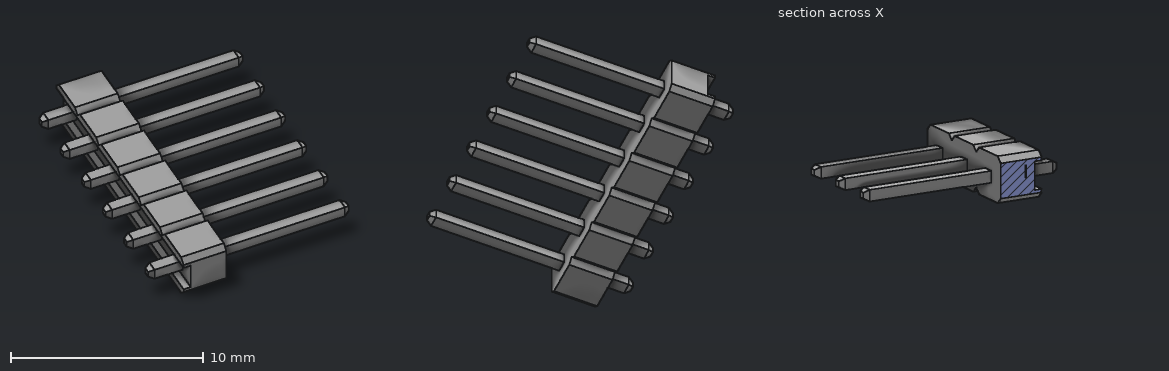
import cadquery as cq

pin_count = 6
row_length = 15.24
pitch = row_length / pin_count

housing_height = pitch
housing_depth = 2.47
corner_chamfer = 0.3
recess_height = 1.52
recess_depth = 0.41

pin_width = 0.64
tip_width = 0.34
tip_length = 0.3
front_tail = 1.52
pin_length = 11.6

pin_front = -front_tail
pin_back = pin_front + pin_length
pin_positions = [(i - (pin_count - 1) / 2) * pitch for i in range(pin_count)]


def make_cell(x):
    """One housing segment; chamfered long edges meet its neighbours in V grooves."""
    return (
        cq.Workplane("XY")
        .box(pitch, housing_depth, housing_height)
        .edges("|Y")
        .chamfer(corner_chamfer)
        .translate((x, housing_depth / 2, 0))
    )


def make_tip(x, base_y, end_y):
    """Pyramid frustum tapering along Y from the pin section to the tip section."""
    return (
        cq.Workplane("XZ", origin=(x, base_y, 0))
        .rect(pin_width, pin_width)
        .workplane(offset=base_y - end_y)
        .rect(tip_width, tip_width)
        .loft(ruled=True)
    )


def make_pin(x):
    """A straight square pin with a tapered tip at each end."""
    shank_front = pin_front + tip_length
    shank_back = pin_back - tip_length
    shank = cq.Workplane("XY").box(pin_width, shank_back - shank_front, pin_width)
    shank = shank.translate((x, (shank_front + shank_back) / 2, 0))
    front_tip = make_tip(x, shank_front, pin_front)
    back_tip = make_tip(x, shank_back, pin_back)
    return shank.union(front_tip).union(back_tip)


housing = make_cell(pin_positions[0])
for x in pin_positions[1:]:
    housing = housing.union(make_cell(x))

recess = cq.Workplane("XY").box(row_length, recess_depth, recess_height)
housing = housing.cut(recess.translate((0, recess_depth / 2, 0)))

result = housing
for x in pin_positions:
    result = result.union(make_pin(x))
result = result.clean()